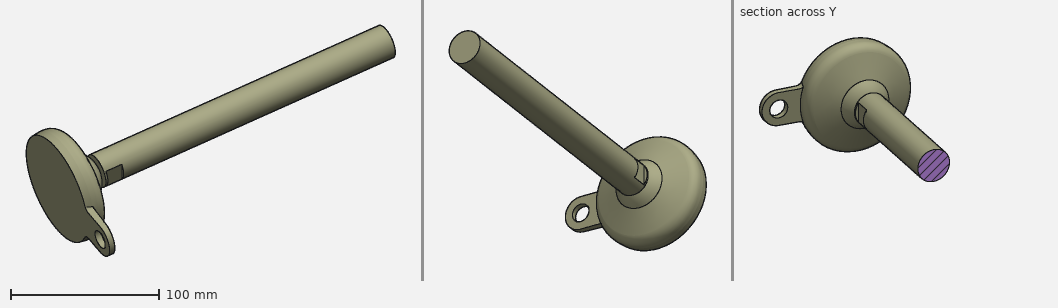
import cadquery as cq
import math


foot_radius = 40.0
base_radius = 39.2
rim_bottom = 5.5
rim_top = 9.0
shoulder_radius = 7.8
dome_radius = 22.0
dome_center_height = 10.2
dome_edge_height = 23.0
cone_angle = math.radians(22.5)

total_length = 261.5
stem_radius = 12.0
stem_bottom = 31.6
wrench_size = 19.0
flat_bottom = 33.2
flat_top = 45.8

lug_reach = 68.0
lug_radius = 12.3
lug_hole_diameter = 13.0
lug_fillet = 5.0
lug_tip_thickness = 4.2


def polar(center, radius, angle):
    """Point on a circle at an angle measured from the horizontal axis."""
    return (center[0] + radius * math.cos(angle), center[1] + radius * math.sin(angle))


def make_foot():
    """Revolve the drafted rim, rounded shoulder, cone and dome about Y."""
    shoulder_center = (foot_radius - shoulder_radius, rim_top)
    normal = math.pi / 2 - cone_angle
    dome_center = (0, dome_center_height)
    edge_angle = math.asin((dome_edge_height - dome_center_height) / dome_radius)
    return (
        cq.Workplane("XY")
        .lineTo(base_radius, 0)
        .lineTo(foot_radius, rim_bottom)
        .lineTo(foot_radius, rim_top)
        .threePointArc(
            polar(shoulder_center, shoulder_radius, normal / 2),
            polar(shoulder_center, shoulder_radius, normal),
        )
        .lineTo(*polar(dome_center, dome_radius, edge_angle))
        .threePointArc(
            polar(dome_center, dome_radius, (edge_angle + math.pi / 2) / 2),
            (0, dome_center_height + dome_radius),
        )
        .close()
        .revolve(360, (0, 0), (0, 1))
    )


def make_stem():
    """Round stem with two opposite wrench flats facing +X and -X."""
    stem = (
        cq.Workplane("XZ", origin=(0, stem_bottom, 0))
        .circle(stem_radius)
        .extrude(stem_bottom - total_length)
    )
    cut_width = 2 * stem_radius
    for side in (-1, 1):
        cutter = cq.Workplane("XY").box(cut_width, flat_top - flat_bottom, cut_width)
        center_x = side * (wrench_size + cut_width) / 2
        stem = stem.cut(cutter.translate((center_x, (flat_bottom + flat_top) / 2, 0)))
    return stem


def make_lug():
    """Rounded lug that thins toward its tip and blends into the foot's base circle."""
    end_x = lug_reach - lug_radius
    fillet_z = lug_radius + lug_fillet
    fillet_x = math.sqrt((base_radius + lug_fillet) ** 2 - fillet_z**2)
    contact_angle = math.atan2(fillet_z, fillet_x)
    contact = polar((0, 0), base_radius, contact_angle)
    middle_angle = (contact_angle - math.pi - math.pi / 2) / 2
    middle = polar((fillet_x, fillet_z), lug_fillet, middle_angle)
    outline = (
        cq.Workplane("XZ")
        .lineTo(*contact)
        .threePointArc(middle, (fillet_x, lug_radius))
        .lineTo(end_x, lug_radius)
        .threePointArc((lug_reach, 0), (end_x, -lug_radius))
        .lineTo(fillet_x, -lug_radius)
        .threePointArc((middle[0], -middle[1]), (contact[0], -contact[1]))
        .close()
        .extrude(-rim_bottom)
    )
    hole = (
        cq.Workplane("XZ")
        .center(end_x, 0)
        .circle(lug_hole_diameter / 2)
        .extrude(-rim_bottom)
    )
    side_profile = (
        cq.Workplane("XY")
        .polyline([
            (0, 0),
            (lug_reach, 0),
            (lug_reach, lug_tip_thickness),
            (base_radius, rim_bottom),
            (0, rim_bottom),
        ])
        .close()
        .extrude(foot_radius, both=True)
    )
    return outline.cut(hole).intersect(side_profile)


result = make_foot().union(make_stem()).union(make_lug())